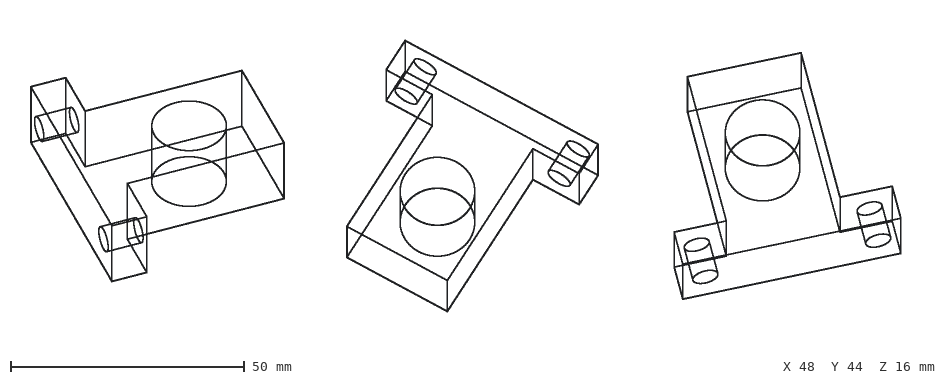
import cadquery as cq

flange_width = 48.0
total_depth = 44.0
height = 16.0

flange_thickness = 8.0
stem_width = 25.0
stem_depth = total_depth - flange_thickness

bore_diameter = 16.0
bore_distance = 27.0

mount_hole_diameter = 5.5
mount_hole_spacing = 38.0


def make_body():
    """T-shaped block with its mounting face on Y = 0 and its base on Z = 0."""
    flange = cq.Workplane("XY").box(
        flange_width, flange_thickness, height, centered=(True, False, False)
    )
    stem = (
        cq.Workplane("XY")
        .box(stem_width, stem_depth, height, centered=(True, False, False))
        .translate((0, flange_thickness, 0))
    )
    return flange.union(stem)


def make_shaft_bore():
    """Vertical cylinder through the full height of the stem."""
    return (
        cq.Workplane("XY")
        .center(0, bore_distance)
        .circle(bore_diameter / 2)
        .extrude(height)
    )


def make_mount_holes():
    """Pair of cylinders running along Y through the flange at mid height."""
    half_spacing = mount_hole_spacing / 2
    return (
        cq.Workplane("XZ")
        .pushPoints([(side * half_spacing, height / 2) for side in (-1, 1)])
        .circle(mount_hole_diameter / 2)
        .extrude(-flange_thickness)
    )


result = make_body().cut(make_shaft_bore()).cut(make_mount_holes())